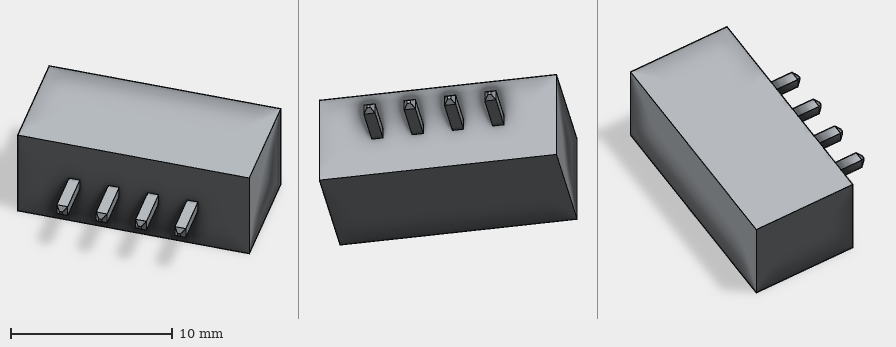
import cadquery as cq

housing_width = 14.94
housing_depth = 7.0
housing_height = 6.1

pin_count = 4
pin_pitch = 2.54
pin_side = 0.7
pin_length = 2.99
tip_length = 0.3
tip_side = 0.21

shank_length = pin_length - tip_length


def make_housing():
    """Block centred on X and Z, with its pin face on Y = 0."""
    return cq.Workplane("XY").box(
        housing_width, housing_depth, housing_height, centered=(True, False, True)
    )


def make_pin(x):
    """Square pin pointing along -Y, ending in a truncated pyramid."""
    shank = cq.Workplane("XZ").center(x, 0).rect(pin_side, pin_side).extrude(shank_length)
    tip = (
        cq.Workplane("XZ", origin=(x, -shank_length, 0))
        .rect(pin_side, pin_side)
        .workplane(offset=tip_length)
        .rect(tip_side, tip_side)
        .loft(ruled=True)
    )
    return shank.union(tip)


result = make_housing()
for index in range(pin_count):
    pin_x = (index - (pin_count - 1) / 2) * pin_pitch
    result = result.union(make_pin(pin_x))